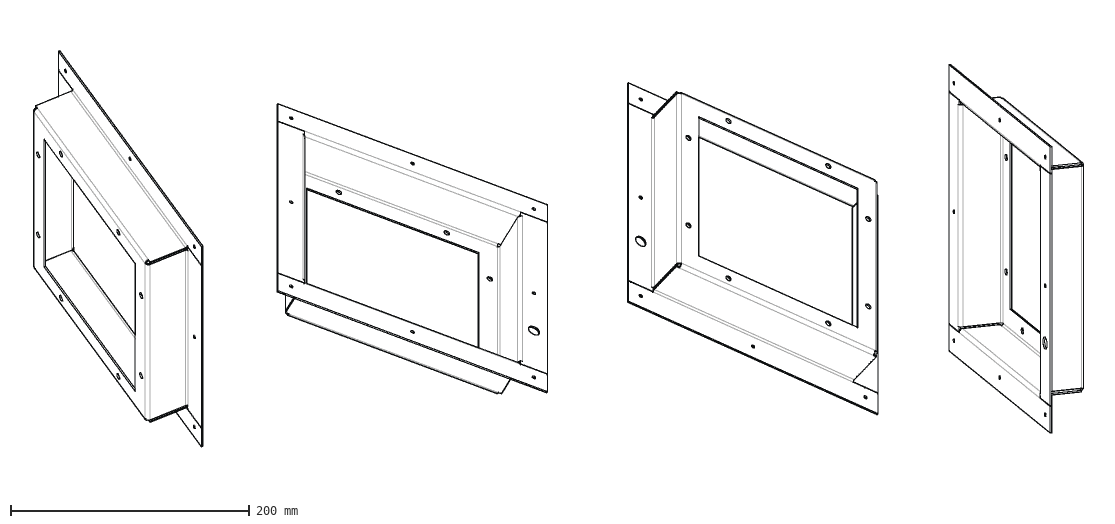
import cadquery as cq

flange_size = 251.0
depth = 40.0
box_size = 201.0
opening_size = 160.0
sheet = 1.5
bend_inner = 1.63
slit = 0.5

mount_hole_dia = 3.0
mount_hole_offset = 113.0
face_hole_dia = 5.0
face_hole_offset = 90.4
face_hole_spacing = 100.5
cable_hole_dia = 10.3
cable_hole_x = -mount_hole_offset
cable_hole_z = -50.2

bend_outer = bend_inner + sheet
wall_outer = box_size / 2
face_edge = wall_outer - bend_outer
flange_bend_edge = wall_outer + bend_inner
flange_edge = flange_size / 2
flange_front = depth - sheet
wall_rear = flange_front - bend_inner


def block(x_size, y_start, y_end, z_start, z_end):
    """Box centred on X, spanning the given Y and Z ranges."""
    return cq.Workplane("XY").box(x_size, y_end - y_start, z_end - z_start).translate(
        (0, (y_start + y_end) / 2, (z_start + z_end) / 2)
    )


def quarter_bend(length, y_centre, z_centre, y_sign, z_sign):
    """Quarter tube along X about a bend axis, in the quadrant given by the two signs."""
    tube = (
        cq.Workplane("YZ", origin=(-length / 2, y_centre, z_centre))
        .circle(bend_outer)
        .circle(bend_inner)
        .extrude(length)
    )
    y_range = sorted((y_centre, y_centre + y_sign * bend_outer))
    z_range = sorted((z_centre, z_centre + z_sign * bend_outer))
    return tube.intersect(block(length, *y_range, *z_range))


def folded_side(wall_length, flange):
    """Upper side of the frame: front bend, wall, rear bend and the given flat flange."""
    front_bend = quarter_bend(2 * face_edge, bend_outer, face_edge, -1, 1)
    wall = block(wall_length, bend_outer, wall_rear, wall_outer - sheet, wall_outer)
    rear_bend = quarter_bend(wall_length, wall_rear, flange_bend_edge, 1, -1)
    return front_bend.union(wall).union(rear_bend).union(flange)


def holes(diameter, points):
    """Cutters running through the whole depth at the given (x, z) points."""
    return cq.Workplane("XZ").pushPoints(points).circle(diameter / 2).extrude(-depth)


face = block(2 * face_edge, 0, sheet, -face_edge, face_edge)
opening = block(opening_size, 0, sheet, -opening_size / 2, opening_size / 2)
result = face.cut(opening)

long_flange = block(flange_size, flange_front, depth, flange_bend_edge, flange_edge)
long_side = folded_side(box_size, long_flange)

short_flange_length = 2 * (flange_bend_edge - slit)
short_flange = block(short_flange_length, flange_front, depth, wall_outer, flange_edge)
bend_clearance = block(2 * face_edge, flange_front, depth, wall_outer, flange_bend_edge)
short_side = folded_side(2 * face_edge, short_flange.cut(bend_clearance))

for side, start_angle in ((long_side, 0), (short_side, 90)):
    for angle in (start_angle, start_angle + 180):
        result = result.union(side.rotate((0, 0, 0), (0, 1, 0), angle))

mount_steps = (-mount_hole_offset, 0, mount_hole_offset)
mount_points = [(x, z) for x in mount_steps for z in mount_steps if (x, z) != (0, 0)]
result = result.cut(holes(mount_hole_dia, mount_points))

face_points = []
for across in (-face_hole_offset, face_hole_offset):
    for along in (-face_hole_spacing / 2, face_hole_spacing / 2):
        face_points += [(across, along), (along, across)]
result = result.cut(holes(face_hole_dia, face_points))

result = result.cut(holes(cable_hole_dia, [(cable_hole_x, cable_hole_z)]))